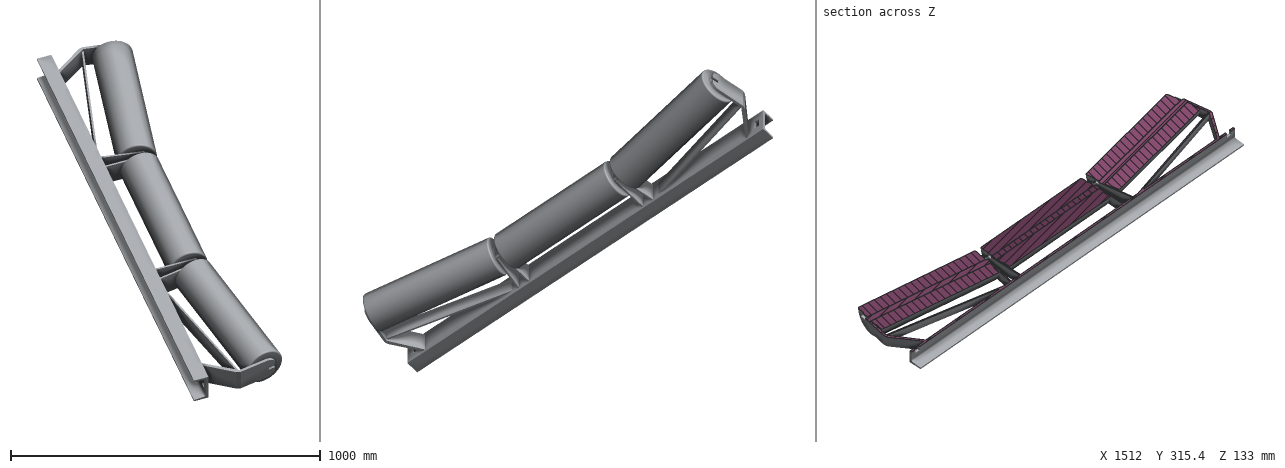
import cadquery as cq
import math

OVERALL_LENGTH = 1512.0

TILT = 10.0
CENTRE_ROLLER_Y = 9.0
WING_ROLLER_X = 498.0
WING_ROLLER_Y = 53.0

ROLLER_LENGTH = 469.0
ROLLER_DIAMETER = 133.0
ROLLER_EDGE_RADIUS = 5.3
HUB_DIAMETER = 71.0
HUB_PROJECTION = 2.3
SHAFT_DIAMETER = 20.0
SHAFT_FLATS = 14.0
INNER_PLATE = 6.0
OUTER_PLATE = 9.0

CHANNEL_LENGTH = 1500.0
CHANNEL_WIDTH = 98.0
CHANNEL_DEPTH = 50.0
CHANNEL_BOTTOM = -157.0
WEB = 9.0
FLANGE_ROOT = 9.0
FLANGE_TIP = 6.0
CHANNEL_RADIUS = 8.0
MOUNT_X = 723.0
MOUNT_WIDTH = 18.0
MOUNT_HEIGHT = 32.0

BRACKET_WIDTH = 79.0
OUTER_PLATE_TOP = 32.0
LEG_ANGLE = 35.0
LEG_END_X = -753.0
LEG_END_Y = -12.0
BRACE = 6.0
BRACE_WIDTH = 60.0
BRACE_ANGLE = 14.0
BRACE_START_Y = 3.0
FOLD_TOP = 35.0

CHANNEL_TOP = CHANNEL_BOTTOM + CHANNEL_DEPTH
PLATE_FACE = ROLLER_LENGTH / 2 + HUB_PROJECTION
SIN_TILT = math.sin(math.radians(TILT))
COS_TILT = math.cos(math.radians(TILT))
INNER_STATION = PLATE_FACE + INNER_PLATE
OUTER_STATION = PLATE_FACE + OUTER_PLATE
OUTER_PLATE_BOTTOM = (WING_ROLLER_X + OUTER_STATION * COS_TILT - OVERALL_LENGTH / 2) / SIN_TILT


def place_on_left_wing(body):
    """Move a body built along X at the origin onto the left wing roller axis."""
    return body.rotate((0, 0, 0), (0, 0, 1), -TILT).translate((-WING_ROLLER_X, WING_ROLLER_Y, 0))


def place_in_all(wing_body, centre_body):
    """Place bodies built along X at the origin on the left wing, centre and right wing axes."""
    left = place_on_left_wing(wing_body)
    return [left, centre_body.translate((0, CENTRE_ROLLER_Y, 0)), left.mirror("YZ")]


def strip(points, width):
    """Extrude an XY outline to a width centred on Z = 0."""
    return cq.Workplane("XY", origin=(0, 0, -width / 2)).polyline(points).close().extrude(width)


def cylinder(diameter, length):
    """Cylinder along X, centred at the origin."""
    return cq.Workplane("YZ", origin=(-length / 2, 0, 0)).circle(diameter / 2).extrude(length)


def shaft_blank(length):
    """Flatted bar along X, centred at the origin."""
    flats = cq.Workplane("XY").box(length, SHAFT_DIAMETER, SHAFT_FLATS)
    return cylinder(SHAFT_DIAMETER, length).intersect(flats)


def shaft(start, end):
    """Shaft along X between two stations, flush with the plates that carry it."""
    return shaft_blank(end - start).translate(((start + end) / 2, 0, 0))


def shaft_slot(start, end):
    """Cutter for an open-topped slot that fits the shaft between two stations."""
    mouth = cq.Workplane("XY").box(end - start, ROLLER_DIAMETER, SHAFT_FLATS)
    mouth = mouth.translate(((start + end) / 2, ROLLER_DIAMETER / 2, 0))
    return shaft(start, end).union(mouth)


def roller():
    hub_length = 2 * PLATE_FACE
    drum = cylinder(ROLLER_DIAMETER, ROLLER_LENGTH).faces("<X or >X").edges().fillet(ROLLER_EDGE_RADIUS)
    return drum.union(cylinder(HUB_DIAMETER, hub_length)).cut(shaft_blank(hub_length))


def channel():
    half_width = CHANNEL_WIDTH / 2
    web_under = CHANNEL_TOP - WEB
    outer = cq.Workplane("XY").box(CHANNEL_LENGTH, CHANNEL_DEPTH, CHANNEL_WIDTH)
    outer = outer.translate((0, CHANNEL_TOP - CHANNEL_DEPTH / 2, 0))
    trough_outline = [
        (web_under, half_width - FLANGE_ROOT),
        (CHANNEL_BOTTOM, half_width - FLANGE_TIP),
        (CHANNEL_BOTTOM, FLANGE_TIP - half_width),
        (web_under, FLANGE_ROOT - half_width),
    ]
    start = cq.Workplane("YZ", origin=(-CHANNEL_LENGTH / 2, 0, 0))
    trough = start.polyline(trough_outline).close().extrude(CHANNEL_LENGTH)
    body = outer.cut(trough.edges("|X and >Y").fillet(CHANNEL_RADIUS))
    for x in (-MOUNT_X, MOUNT_X):
        mount = cq.Workplane("XY").box(MOUNT_WIDTH, 2 * WEB, MOUNT_HEIGHT)
        body = body.cut(mount.translate((x, CHANNEL_TOP - WEB / 2, 0)))
    return body


def wing_point(station, rise):
    """XY position of a point at a station along the left wing axis and a rise square to it."""
    x = -WING_ROLLER_X + station * COS_TILT + rise * SIN_TILT
    return (x, WING_ROLLER_Y - station * SIN_TILT + rise * COS_TILT)


def wing_point_at(station, y):
    """Point at height y on the plane square to the left wing axis at a station along it."""
    return wing_point(station, (y - WING_ROLLER_Y + station * SIN_TILT) / COS_TILT)


def outer_plate():
    """Upright plate, square to the wing roller; its end is a cut-off arc around the slotted shaft axis."""
    half_width = BRACKET_WIDTH / 2
    flat = math.sqrt(half_width**2 - OUTER_PLATE_TOP**2)
    diagonal = half_width * math.sqrt(0.5)
    outline = (
        cq.Workplane("YZ", origin=(-OUTER_STATION, 0, 0))
        .moveTo(OUTER_PLATE_BOTTOM, -half_width)
        .lineTo(0, -half_width)
        .threePointArc((diagonal, -diagonal), (OUTER_PLATE_TOP, -flat))
        .lineTo(OUTER_PLATE_TOP, flat)
        .threePointArc((diagonal, diagonal), (0, half_width))
        .lineTo(OUTER_PLATE_BOTTOM, half_width)
        .close()
    )
    plate = outline.extrude(OUTER_PLATE)
    return place_on_left_wing(plate.cut(shaft_slot(-OUTER_STATION, -PLATE_FACE)))


def leg():
    """Sloping leg, joined to the outer plate by a short knee and cut level on the channel."""
    angle = math.radians(LEG_ANGLE)
    foot_x = LEG_END_X + (LEG_END_Y - CHANNEL_TOP) * math.tan(angle)
    foot_width = OUTER_PLATE / math.cos(angle)
    return strip([
        wing_point(-OUTER_STATION, OUTER_PLATE_BOTTOM),
        (LEG_END_X, LEG_END_Y),
        (foot_x, CHANNEL_TOP),
        (foot_x + foot_width, CHANNEL_TOP),
        wing_point(-PLATE_FACE, OUTER_PLATE_BOTTOM),
    ], BRACKET_WIDTH)


def brace():
    """Thin strip from the lower end of the outer plate down to the channel."""
    angle = math.radians(BRACE_ANGLE)
    drop = BRACE / math.cos(angle)
    station = -PLATE_FACE - OUTER_PLATE / 2
    start_x = wing_point_at(station, BRACE_START_Y)[0]
    foot_x = start_x + (BRACE_START_Y - CHANNEL_TOP) / math.tan(angle)
    foot_width = BRACE / math.sin(angle)
    return strip([
        (start_x, BRACE_START_Y),
        (foot_x, CHANNEL_TOP),
        (foot_x - foot_width, CHANNEL_TOP),
        (start_x, BRACE_START_Y - drop),
    ], BRACE_WIDTH)


def inner_bracket():
    """Folded strip that carries the wing roller on one leg and the centre roller on the other."""
    fold_under = FOLD_TOP - INNER_PLATE
    body = strip([
        wing_point_at(PLATE_FACE, CHANNEL_TOP),
        wing_point_at(PLATE_FACE, FOLD_TOP),
        (-PLATE_FACE, FOLD_TOP),
        (-PLATE_FACE, CHANNEL_TOP),
        (-INNER_STATION, CHANNEL_TOP),
        (-INNER_STATION, fold_under),
        wing_point_at(INNER_STATION, fold_under),
        wing_point_at(INNER_STATION, CHANNEL_TOP),
    ], BRACKET_WIDTH)
    wing_slot = place_on_left_wing(shaft_slot(PLATE_FACE, INNER_STATION))
    centre_slot = shaft_slot(-INNER_STATION, -PLATE_FACE).translate((0, CENTRE_ROLLER_Y, 0))
    return body.cut(wing_slot).cut(centre_slot)


def frame():
    brackets = outer_plate().union(leg()).union(brace())
    body = channel()
    for part in (brackets, inner_bracket()):
        body = body.union(part).union(part.mirror("YZ"))
    return body


frame_body = frame()
rollers = place_in_all(roller(), roller())
shafts = place_in_all(shaft(-OUTER_STATION, INNER_STATION), shaft(-INNER_STATION, INNER_STATION))

result = cq.Compound.makeCompound([frame_body.val(), *[body.val() for body in rollers + shafts]])